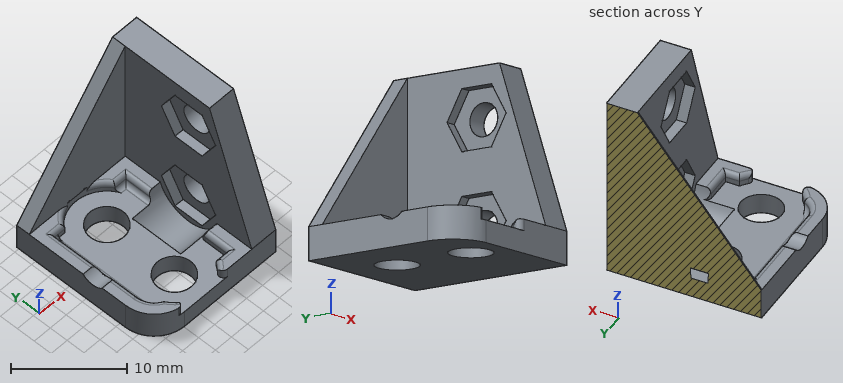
import cadquery as cq
import math

length, width, height = 15.0, 16.5, 18.0
base_thickness = 3.0
plate_thickness = 3.0
side_thickness = 1.5
corner_radius = 3.6
plate_top_setback = 5.0
plate_x = length - plate_thickness
side_y = width - side_thickness

base_hole_diameter = 4.0
base_hole_x = 6.0
base_hole_ys = (3.5, 11.5)
bolt_diameter = 3.0
bolt_y = sum(base_hole_ys) / 2
lower_bolt_z = 4.0
bolt_spacing = 9.5
nut_across_flats = 5.56
nut_depth = 1.0
channel_radius = 3.5
channel_start_x = 8.0

recess_depth = 1.0
recess_floor = base_thickness - recess_depth
round_radius = recess_depth / 2
wall_middle = recess_floor + round_radius
rim = 1.0
recess_x_min, recess_x_max = rim, plate_x - rim
recess_y_min, recess_y_max = rim, side_y - rim
clearance_radius = 3.7
arc_offset = round_radius * math.sqrt(0.5)


def box(x_min, x_max, y_min, y_max, z_min, z_max):
    size = (x_max - x_min, y_max - y_min, z_max - z_min)
    return cq.Workplane("XY").box(*size, centered=False).translate((x_min, y_min, z_min))


def rod_along_x(radius, x_min, x_max, z):
    return cq.Workplane("YZ", origin=(x_min, bolt_y, z)).circle(radius).extrude(x_max - x_min)


def rod_up(x, y, radius, z_min, z_max):
    return cq.Workplane("XY", origin=(x, y, z_min)).circle(radius).extrude(z_max - z_min)


def add_wall(sketch, edge, outward, coved):
    """Draw one recess wall from floor to top: cove or upright, then a rounded lip."""
    middle = edge - outward * round_radius
    if coved:
        cove_mid = (middle - outward * (round_radius - arc_offset), wall_middle - arc_offset)
        sketch = sketch.lineTo(middle - outward * round_radius, recess_floor)
        sketch = sketch.threePointArc(cove_mid, (middle, wall_middle))
    else:
        sketch = sketch.lineTo(middle, recess_floor).lineTo(middle, wall_middle)
    lip_mid = (edge - outward * arc_offset, wall_middle + arc_offset)
    return sketch.threePointArc(lip_mid, (edge, base_thickness))


def half_trough(plane, center, edge, outward, coved, depth):
    """Half of the recess cross-section, extruded from the plane's origin."""
    sketch = cq.Workplane(plane).moveTo(center, base_thickness).lineTo(center, recess_floor)
    return add_wall(sketch, edge, outward, coved).close().extrude(depth)


def flared_disc(x, y, radius, coved):
    """Round recess whose wall has the given radius below its rounded lip."""
    sketch = cq.Workplane("XZ").moveTo(0, base_thickness).lineTo(0, recess_floor)
    sketch = add_wall(sketch, radius + round_radius, 1, coved).close()
    return sketch.revolve(360, (0, 0, 0), (0, 1, 0)).translate((x, y, 0))


def make_body():
    base = box(0, length, 0, width, 0, base_thickness)
    base = base.edges("|Z and <X and <Y").fillet(corner_radius)
    plate = (
        cq.Workplane("YZ", origin=(plate_x, 0, 0))
        .polyline([(0, base_thickness), (plate_top_setback, height), (width, height)])
        .lineTo(width, base_thickness)
        .close()
        .extrude(plate_thickness)
    )
    side = (
        cq.Workplane("XZ", origin=(0, width, 0))
        .polyline([(0, base_thickness), (plate_x, height), (plate_x, base_thickness)])
        .close()
        .extrude(side_thickness)
    )
    return base.union(plate).union(side)


def make_rectangular_recess():
    """Crossed troughs give mitred corners; coves run along the left, back right and right rear."""
    left = half_trough("XZ", base_hole_x, recess_x_min, -1, True, -width)
    right = half_trough("XZ", base_hole_x, recess_x_max, 1, True, -width)
    front = half_trough("YZ", bolt_y, recess_y_min, -1, False, length)
    back = half_trough("YZ", bolt_y, recess_y_max, 1, True, length)
    recess = left.union(right).intersect(front.union(back))

    recess = recess.union(box(
        recess_x_min + 2 * round_radius, base_hole_x,
        bolt_y, recess_y_max - round_radius, recess_floor, wall_middle,
    ))
    recess = recess.union(box(
        base_hole_x, recess_x_max - round_radius,
        recess_y_min + round_radius, bolt_y, recess_floor, wall_middle,
    ))

    corner = box(0, corner_radius, 0, corner_radius, recess_floor, base_thickness)
    corner_wall_radius = corner_radius - rim - round_radius
    round_corner = flared_disc(corner_radius, corner_radius, corner_wall_radius, True).intersect(corner)
    return recess.cut(corner).union(round_corner)


def circle_crossing(center_a, radius_a, center_b, radius_b):
    """Crossing point of two circles, on the right-hand side going from a to b."""
    gap_x = center_b[0] - center_a[0]
    gap_y = center_b[1] - center_a[1]
    gap = math.hypot(gap_x, gap_y)
    along = (radius_a**2 - radius_b**2 + gap**2) / (2 * gap)
    across = math.sqrt(radius_a**2 - along**2)
    return (
        center_a[0] + (along * gap_x + across * gap_y) / gap,
        center_a[1] + (along * gap_y - across * gap_x) / gap,
    )


def make_front_opening():
    """Open the front clearance circle through the front face, leaving rounded noses."""
    hole = (base_hole_x, base_hole_ys[0])
    nose_distance = clearance_radius + round_radius

    corner_center = (corner_radius, corner_radius)
    corner_distance = corner_radius - round_radius
    left_nose = circle_crossing(corner_center, corner_distance, hole, nose_distance)
    nose_drop = hole[1] - round_radius
    right_nose = (base_hole_x + math.sqrt(nose_distance**2 - nose_drop**2), round_radius)

    opening = (
        cq.Workplane("XY", origin=(0, 0, recess_floor))
        .polyline([hole, left_nose, (left_nose[0], 0), (right_nose[0], 0), right_nose])
        .close()
        .extrude(recess_depth)
    )
    for nose in (left_nose, right_nose):
        opening = opening.cut(rod_up(*nose, round_radius, recess_floor, base_thickness))
    return opening


def make_channel():
    """Round clearance in front of the lower nut, with a rounded wall end beside it."""
    channel = rod_along_x(channel_radius, channel_start_x, plate_x, lower_bolt_z)
    floor_drop = lower_bolt_z - recess_floor
    channel_edge = bolt_y - math.sqrt(channel_radius**2 - floor_drop**2)
    end_y = channel_edge - round_radius
    wall_end = box(
        recess_x_max - round_radius, recess_x_max, end_y, channel_edge, recess_floor, base_thickness
    )
    wall_end = wall_end.cut(rod_up(recess_x_max, end_y, round_radius, recess_floor, base_thickness))
    return channel.union(wall_end)


def make_recess():
    recess = make_rectangular_recess().union(make_front_opening())
    in_front_of_side = box(0, plate_x, 0, side_y, recess_floor, base_thickness)
    for y in base_hole_ys:
        flare = flared_disc(base_hole_x, y, clearance_radius, False).intersect(in_front_of_side)
        recess = recess.union(flare)
        recess = recess.union(rod_up(base_hole_x, y, clearance_radius, recess_floor, base_thickness))
    return recess


result = make_body().cut(make_recess())

for y in base_hole_ys:
    result = result.cut(rod_up(base_hole_x, y, base_hole_diameter / 2, 0, base_thickness))

nut_corner_diameter = nut_across_flats / math.cos(math.radians(30))
for z in (lower_bolt_z, lower_bolt_z + bolt_spacing):
    nut = cq.Workplane("YZ", origin=(plate_x, bolt_y, z)).polygon(6, nut_corner_diameter).extrude(nut_depth)
    result = result.cut(nut).cut(rod_along_x(bolt_diameter / 2, 0, length, z))

result = result.cut(make_channel())